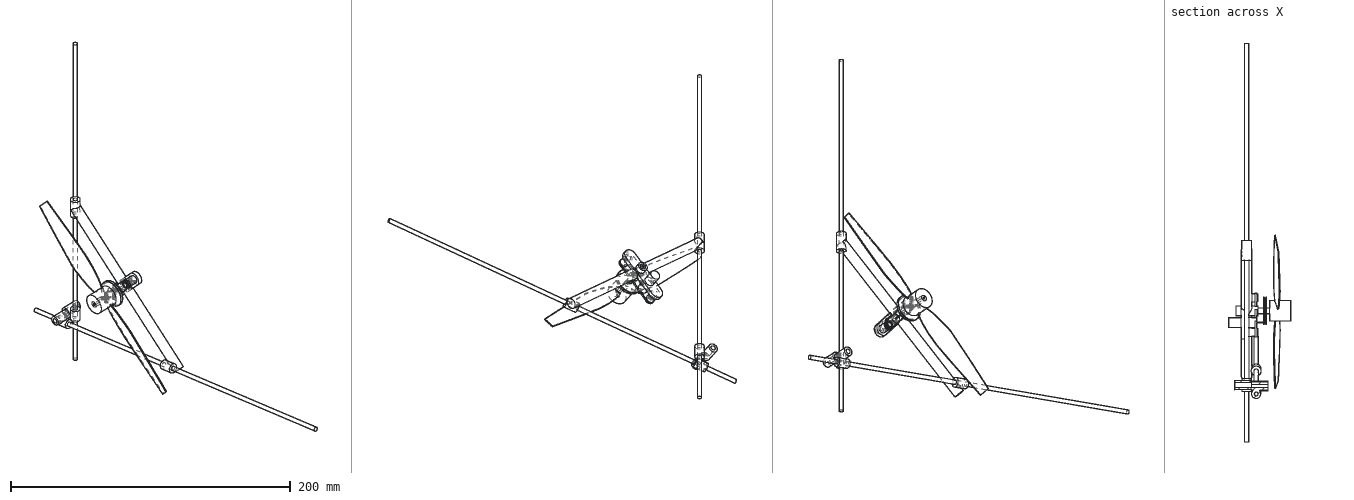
import cadquery as cq
import math

rod_length = 285.0
rod_diameter = 3.0
lower_rod_tilt = 9.1
lower_rod_middle = cq.Vector(107.7, -6.8, 52.7)

sleeve_diameter = 7.0
boom_sleeve_length = 14.2
boom_sleeve_height = 137.0
foot_sleeve_length = 9.5
foot_sleeve_x = 100.3

boom_diameter = 7.7
boom_slope = 40.8
boom_length = 137.7

hinge_sleeve_length = 9.5
hinge_sleeve_diameter = 6.8
hinge_peg_diameter = 6.8
hinge_peg_bore = 3.5
hinge_peg_length = 12.0
upright_hinge_x = -6.5
upright_hinge_z = 40.8
lower_hinge_sleeve_x = -4.3
lower_hinge_offset = 5.5

propeller_axis_along_boom = 66.0
motor_offset = -11.0
screw_offsets = (-20.2, 12.3)

back_plate_width = 9.7
back_plate_back = -4.0
back_plate_front = -0.9
front_bar_width = 6.5
front_bar_back = 6.0
front_bar_front = 7.5
post_diameter = 6.0
screw_hole_diameter = 3.5
screw_head_diameter = 5.5
screw_head_front = 8.3
bearing_diameter = 7.0
bearing_back = -7.7
bearing_front = 8.3

motor_diameter = 7.0
motor_back = -12.8
motor_front = front_bar_front
motor_pin_diameter = 0.8
motor_pin_tip = 12.0

shaft_diameter = 4.3
shaft_bore = 1.4
pulley_diameter = 19.7
pulley_back = 12.3
pulley_front = 14.2
pulley_rim = 0.3
pulley_groove_depth = 1.0

hub_diameter = 14.8
hub_back = 16.5
hub_front = 31.5
blade_height = 21.5
blade_pitch = 15.0
blade_thickness = 0.9
blade_root_leading = (5.7, 3.7)
blade_leading_edge = [(11.5, 6.0), (22.8, 8.0), (30.0, 8.8), (45.5, 7.7), (62.7, 6.3), (80.5, 4.3)]
blade_tip_trailing = (80.5, -4.0)
blade_trailing_edge = [(62.7, -5.0), (45.5, -6.5), (30.0, -7.0), (17.0, -6.0), (11.5, -4.8), (5.7, -2.8)]


UP = cq.Vector(0, 0, 1)
BACK = cq.Vector(0, 1, 0)


def direction(degrees):
    """Unit vector in the XZ plane at this angle above +X."""
    return cq.Vector(math.cos(math.radians(degrees)), 0, math.sin(math.radians(degrees)))


lower_rod_direction = direction(lower_rod_tilt)
boom_direction = direction(-boom_slope)
boom_start = UP * boom_sleeve_height
propeller_axis = boom_start + boom_direction * propeller_axis_along_boom
drive_frame = cq.Plane(origin=propeller_axis.toTuple(), xDir=boom_direction.toTuple(), normal=(0, -1, 0))


def rod_between(start, axis, length, diameter):
    """Cylinder that starts at a point and runs along an axis."""
    return cq.Workplane(obj=cq.Solid.makeCylinder(diameter / 2, length, start, axis))


def rod_about(middle, axis, length, diameter):
    """Cylinder centred on a point and lying along an axis."""
    return rod_between(middle - axis * (length / 2), axis, length, diameter)


def on_lower_rod(x):
    """Point on the lower rod's axis at this X."""
    return lower_rod_middle + lower_rod_direction * ((x - lower_rod_middle.x) / lower_rod_direction.x)


def post(y, back, front, diameter):
    """Cylinder along z of the drive frame, on its y axis."""
    return cq.Workplane("XY", origin=(0, y, back)).circle(diameter / 2).extrude(front - back)


def in_place(body):
    """Move a body from the drive frame to its place in the assembly."""
    return cq.Workplane(obj=body.val().moved(drive_frame.location))


upright_rod = rod_between(cq.Vector(0, 0, 0), UP, rod_length, rod_diameter)
lower_rod = rod_about(lower_rod_middle, lower_rod_direction, rod_length, rod_diameter)


def make_boom():
    """Boom with a sleeve for each rod and a cross hole for the shaft bearing."""
    tube = rod_between(boom_start, boom_direction, boom_length, boom_diameter)
    top_sleeve = rod_about(boom_start, UP, boom_sleeve_length, sleeve_diameter)
    foot = on_lower_rod(foot_sleeve_x)
    foot_sleeve = rod_about(foot, lower_rod_direction, foot_sleeve_length, sleeve_diameter)
    bearing_hole = in_place(post(0, bearing_back, bearing_front, bearing_diameter))
    return tube.union(top_sleeve).union(foot_sleeve).cut(bearing_hole).cut(upright_rod).cut(lower_rod)


def make_hinge_half(sleeve_middle, rod_axis, peg_middle, outward, rod):
    """Sleeve on a rod with a hollow peg beside it; the two pegs meet end to end midway between the rods."""
    sleeve = rod_about(sleeve_middle, rod_axis, hinge_sleeve_length, hinge_sleeve_diameter)
    peg_start = cq.Vector(peg_middle.x, lower_rod_middle.y / 2, peg_middle.z)
    peg = rod_between(peg_start, outward, hinge_peg_length, hinge_peg_diameter)
    bore = rod_between(peg_start, outward, hinge_peg_length, hinge_peg_bore)
    return sleeve.union(peg).cut(bore).cut(rod)


def make_hinge():
    """The half on the upright rod and the half on the lower rod."""
    upright_sleeve = UP * upright_hinge_z
    upright_peg = cq.Vector(upright_hinge_x, 0, upright_hinge_z)
    lower_sleeve = on_lower_rod(lower_hinge_sleeve_x)
    lower_peg = lower_sleeve + direction(lower_rod_tilt + 90) * lower_hinge_offset
    return (
        make_hinge_half(upright_sleeve, UP, upright_peg, BACK, upright_rod),
        make_hinge_half(lower_sleeve, lower_rod_direction, lower_peg, BACK * -1, lower_rod),
    )


def slot_plate(width, back, front, end_radius_centres):
    """Round-ended plate across the boom between two centres."""
    low, high = end_radius_centres
    plate = cq.Workplane("XY", origin=(0, (low + high) / 2, back))
    return plate.slot2D(high - low + width, width, 90).extrude(front - back)


def make_mount():
    """Back plate and front bar joined by screw posts and the shaft bearing, with a channel for the boom."""
    mount = slot_plate(back_plate_width, back_plate_back, back_plate_front, screw_offsets)
    mount = mount.union(slot_plate(front_bar_width, front_bar_back, front_bar_front, screw_offsets))
    for offset in screw_offsets:
        mount = mount.union(post(offset, back_plate_front, front_bar_back, post_diameter))
        mount = mount.union(post(offset, front_bar_front, screw_head_front, screw_head_diameter))
        mount = mount.cut(post(offset, back_plate_front, screw_head_front, screw_hole_diameter))
    boom_channel = cq.Workplane("YZ", origin=(-back_plate_width, 0, 0)).circle(boom_diameter / 2)
    mount = mount.cut(boom_channel.extrude(2 * back_plate_width))
    mount = mount.union(post(0, bearing_back, bearing_front, bearing_diameter))
    mount = mount.cut(post(motor_offset, back_plate_back, front_bar_front, motor_diameter))
    return in_place(mount.cut(post(0, bearing_back, bearing_front, shaft_diameter)))


def make_motor():
    """Motor can with its thin drive pin."""
    can = post(motor_offset, motor_back, motor_front, motor_diameter)
    return in_place(can.union(post(motor_offset, motor_front, motor_pin_tip, motor_pin_diameter)))


def make_pulley():
    """Disc with a V groove round its rim."""
    rim_radius = pulley_diameter / 2
    groove_radius = rim_radius - pulley_groove_depth
    profile = cq.Workplane("XZ").polyline([
        (0, pulley_back),
        (rim_radius, pulley_back),
        (rim_radius, pulley_back + pulley_rim),
        (groove_radius, (pulley_back + pulley_front) / 2),
        (rim_radius, pulley_front - pulley_rim),
        (rim_radius, pulley_front),
        (0, pulley_front),
    ]).close()
    return profile.revolve(360, (0, 0, 0), (0, 1, 0))


def make_drive_shaft():
    """Hollow shaft from the back of the bearing to the front of the hub, with the pulley on it."""
    shaft = post(0, bearing_back, hub_front, shaft_diameter)
    return in_place(shaft.union(make_pulley()).cut(post(0, bearing_back, hub_front, shaft_bore)))


def make_propeller():
    """Hub with two pitched blades, half a turn apart."""
    outline = cq.Workplane("XY").moveTo(*blade_root_leading).spline(blade_leading_edge, includeCurrent=True)
    outline = outline.lineTo(*blade_tip_trailing).spline(blade_trailing_edge, includeCurrent=True).close()
    flat_blade = outline.extrude(blade_thickness / 2, both=True)
    blade = flat_blade.rotate((0, 0, 0), (1, 0, 0), blade_pitch).translate((0, 0, blade_height))
    propeller = post(0, hub_back, hub_front, hub_diameter)
    for turn in (0, 180):
        propeller = propeller.union(blade.rotate((0, 0, 0), (0, 0, 1), turn))
    return in_place(propeller.cut(post(0, hub_back, hub_front, shaft_diameter)))


boom = make_boom()
upright_hinge, lower_hinge = make_hinge()
mount = make_mount()
motor = make_motor()
drive_shaft = make_drive_shaft()
propeller = make_propeller()

bodies = [upright_rod, lower_rod, boom, upright_hinge, lower_hinge, mount, motor, drive_shaft, propeller]
result = cq.Compound.makeCompound([body.solids().val() for body in bodies])